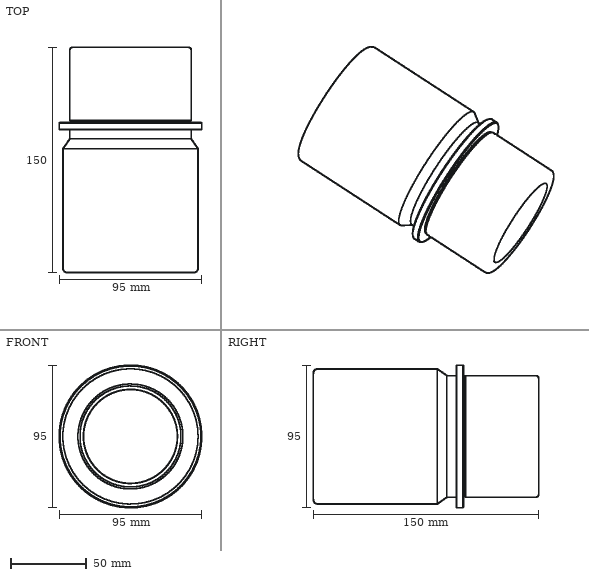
import cadquery as cq

length = 150.0

body_radius = 45.0
spigot_radius = 40.5
flange_radius = 47.48
groove_radius = 40.0

spigot_length = 50.0
flange_width = 5.1
neck_length = 6.0
shoulder_length = 6.5
groove_width = 0.9
groove_bevel = spigot_radius - groove_radius
flange_far = length - spigot_length
flange_near = flange_far - flange_width
shoulder_top = flange_near - neck_length
shoulder_base = shoulder_top - shoulder_length
groove_end = flange_far + groove_width

body_rounding = 3.0
spigot_rounding = 2.0
flange_bevel = 0.6

bore_radius = 31.2
mouth_chamfer_width = 2.4
mouth_chamfer_depth = 3.0
mouth_bevel_width = 1.4
mouth_bevel_depth = 0.6


def outer_solid():
    """Solid of revolution with the shoulder, neck, flange and relief groove."""
    profile = [
        (0, 0),
        (body_radius, 0),
        (body_radius, shoulder_base),
        (spigot_radius, shoulder_top),
        (spigot_radius, flange_near),
        (flange_radius - flange_bevel, flange_near),
        (flange_radius, flange_near + flange_bevel),
        (flange_radius, flange_far - flange_bevel),
        (flange_radius - flange_bevel, flange_far),
        (groove_radius, flange_far),
        (groove_radius, groove_end),
        (spigot_radius, groove_end + groove_bevel),
        (spigot_radius, length),
        (0, length),
    ]
    solid = cq.Workplane("XY").polyline(profile).close().revolve(360, (0, 0), (0, 1))
    solid = solid.faces("<Y").edges().fillet(body_rounding)
    return solid.faces(">Y").edges().fillet(spigot_rounding)


def bore_cutter():
    """Through bore with a chamfered entry and a shallow bevel at the body mouth."""
    entry_radius = bore_radius + mouth_chamfer_width
    bore_start = mouth_bevel_depth + mouth_chamfer_depth
    return (
        cq.Workplane("XY")
        .lineTo(entry_radius + mouth_bevel_width, 0)
        .lineTo(entry_radius, mouth_bevel_depth)
        .lineTo(bore_radius, bore_start)
        .lineTo(bore_radius, length)
        .lineTo(0, length)
        .close()
        .revolve(360, (0, 0), (0, 1))
    )


result = outer_solid().cut(bore_cutter())